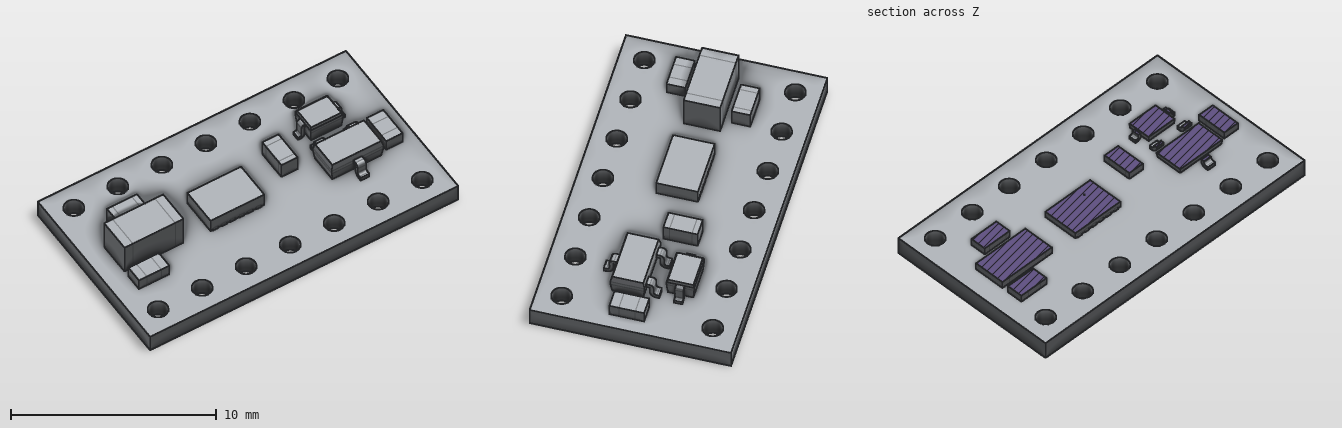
import cadquery as cq
import math

PITCH = 2.54
HOLE_COLUMNS = 2
HOLE_ROWS = 7
BOARD_X = 4 * PITCH
BOARD_Y = HOLE_ROWS * PITCH
BOARD_THICKNESS = 1.02
HOLE_DIAMETER = 1.02
HOLE_COLUMN_SPACING = 3 * PITCH
TOP = BOARD_THICKNESS

RESISTOR = (1.75, 0.95, 0.65, 0.46)
SMALL_CAPACITOR = (1.73, 0.94, 0.89, 0.30)
LARGE_CAPACITOR = (3.40, 1.84, 1.80, 0.48)

CHIPS = [
    (RESISTOR, 0.39, 7.64, 0),
    (RESISTOR, 1.76, -6.84, 90),
    (SMALL_CAPACITOR, -0.89, 2.41, 0),
    (SMALL_CAPACITOR, -1.79, -5.83, 90),
    (LARGE_CAPACITOR, 0.0, -6.01, 90),
]

IC_CENTRE_Y = -1.28
IC_X = 2.10
IC_Y = 3.10
IC_HEIGHT = 0.83
IC_STANDOFF = 0.05
IC_PADS_PER_SIDE = 6
IC_PAD_PITCH = 0.50
IC_PAD_WIDTH = 0.30
IC_PAD_LENGTH = 0.40
IC_PAD_HEIGHT = 0.22

BODY_STANDOFF = 0.10

TRANSISTOR_CENTRE = (0.716, 5.32)
TRANSISTOR_X = 1.72
TRANSISTOR_Y = 2.98
TRANSISTOR_HEIGHT = 1.18
TRANSISTOR_DRAFT_INSET = 0.08
TRANSISTOR_LEAD_SPAN = 3.06
TRANSISTOR_LEAD_WIDTH = 0.50
TRANSISTOR_LEAD_TOP = 0.87
TRANSISTOR_LEAD_THICKNESS = 0.20
TRANSISTOR_LEAD_PITCH = 0.95
TRANSISTOR_FOOT_FLAT = 0.13
TRANSISTOR_FOOT_RADIUS = 0.15

DIODE_CENTRE = (-1.78, 5.24)
DIODE_X = 1.40
DIODE_Y = 1.87
DIODE_HEIGHT = 1.07
DIODE_DRAFT_INSET = 0.06
DIODE_LEAD_SPAN = 2.71
DIODE_LEAD_WIDTH = 0.43
DIODE_LEAD_TOP = 0.93
DIODE_LEAD_THICKNESS = 0.17
DIODE_FOOT_FLAT = 0.12
DIODE_FOOT_RADIUS = 0.08

LEAD_INNER_RADIUS = 0.02
LEAD_EMBED = 0.20


def block(size_x, size_y, size_z, x=0, y=0, z=0):
    """Box centred on (x, y) with its underside at z."""
    return cq.Workplane("XY").box(size_x, size_y, size_z, centered=(True, True, False)).translate((x, y, z))


def join(parts):
    """Fuse parts, keeping the seams between flush faces."""
    fused = parts[0]
    for part in parts[1:]:
        fused = fused.union(part, clean=False)
    return fused


def make_board():
    return (
        block(BOARD_X, BOARD_Y, BOARD_THICKNESS)
        .faces(">Z")
        .workplane(origin=(0, 0, 0))
        .rarray(HOLE_COLUMN_SPACING, PITCH, HOLE_COLUMNS, HOLE_ROWS)
        .hole(HOLE_DIAMETER)
    )


def make_chip(package, x, y, rotation):
    """Two-terminal chip whose terminals are flush with its body."""
    length, width, height, terminal = package
    terminal_x = (length - terminal) / 2
    chip = join([
        block(length - 2 * terminal, width, height),
        block(terminal, width, height, x=-terminal_x),
        block(terminal, width, height, x=terminal_x),
    ])
    return chip.rotate((0, 0, 0), (0, 0, 1), rotation).translate((x, y, TOP))


def make_ic():
    """Raised body with flush pads along both long sides."""
    parts = [block(IC_X, IC_Y, IC_HEIGHT - IC_STANDOFF, z=IC_STANDOFF)]
    pad_x = (IC_X - IC_PAD_LENGTH) / 2
    first_y = -IC_PAD_PITCH * (IC_PADS_PER_SIDE - 1) / 2
    for side in (-1, 1):
        for index in range(IC_PADS_PER_SIDE):
            pad_y = first_y + index * IC_PAD_PITCH
            parts.append(block(IC_PAD_LENGTH, IC_PAD_WIDTH, IC_PAD_HEIGHT, side * pad_x, pad_y))
    return join(parts).translate((0, IC_CENTRE_Y, TOP))


def make_moulded_body(size_x, size_y, height, band_bottom, band_top, inset):
    """Body with a straight band at the lead level and drafted faces above and below it."""
    upper_height = height - band_top
    lower_height = band_bottom - BODY_STANDOFF
    upper = (
        cq.Workplane("XY", origin=(0, 0, band_top))
        .rect(size_x, size_y)
        .extrude(upper_height, taper=math.degrees(math.atan(inset / upper_height)))
    )
    lower = (
        cq.Workplane("XY", origin=(0, 0, band_bottom))
        .rect(size_x, size_y)
        .extrude(-lower_height, taper=math.degrees(math.atan(inset / lower_height)))
    )
    band = block(size_x, size_y, band_top - band_bottom, z=band_bottom)
    return join([band, upper, lower])


def make_lead(body_edge, tip, top, thickness, width, foot_flat, foot_radius):
    """Gull-wing lead running along +X from inside the body to its tip on the board."""
    bend_outer = LEAD_INNER_RADIUS + thickness
    foot_outer = foot_radius + thickness
    foot_start = tip - foot_flat
    outer_x = foot_start - foot_radius
    inner_x = outer_x - thickness
    bend_x = outer_x - bend_outer
    bend_z = top - bend_outer
    root_x = body_edge - LEAD_EMBED
    diagonal = math.sqrt(0.5)

    def on_bend(radius):
        return (bend_x + radius * diagonal, bend_z + radius * diagonal)

    def on_foot(radius):
        return (foot_start - radius * diagonal, foot_outer - radius * diagonal)

    return (
        cq.Workplane("XZ")
        .moveTo(root_x, top)
        .lineTo(bend_x, top)
        .threePointArc(on_bend(bend_outer), (outer_x, bend_z))
        .lineTo(outer_x, foot_outer)
        .threePointArc(on_foot(foot_radius), (foot_start, thickness))
        .lineTo(tip, thickness)
        .lineTo(tip, 0)
        .lineTo(foot_start, 0)
        .threePointArc(on_foot(foot_outer), (inner_x, foot_outer))
        .lineTo(inner_x, bend_z)
        .threePointArc(on_bend(LEAD_INNER_RADIUS), (bend_x, top - thickness))
        .lineTo(root_x, top - thickness)
        .close()
        .extrude(width / 2, both=True)
    )


def make_transistor():
    """Two leads on the -X side and one on the +X side."""
    body = make_moulded_body(
        TRANSISTOR_X,
        TRANSISTOR_Y,
        TRANSISTOR_HEIGHT,
        TRANSISTOR_LEAD_TOP - TRANSISTOR_LEAD_THICKNESS,
        TRANSISTOR_LEAD_TOP,
        TRANSISTOR_DRAFT_INSET,
    )
    lead = make_lead(
        TRANSISTOR_X / 2,
        TRANSISTOR_LEAD_SPAN / 2,
        TRANSISTOR_LEAD_TOP,
        TRANSISTOR_LEAD_THICKNESS,
        TRANSISTOR_LEAD_WIDTH,
        TRANSISTOR_FOOT_FLAT,
        TRANSISTOR_FOOT_RADIUS,
    )
    left_lead = lead.rotate((0, 0, 0), (0, 0, 1), 180)
    parts = [body, lead]
    for side in (-1, 1):
        parts.append(left_lead.translate((0, side * TRANSISTOR_LEAD_PITCH, 0)))
    return join(parts).translate((*TRANSISTOR_CENTRE, TOP))


def make_diode():
    """One lead at each Y end."""
    body = make_moulded_body(
        DIODE_X,
        DIODE_Y,
        DIODE_HEIGHT,
        DIODE_LEAD_TOP - DIODE_LEAD_THICKNESS,
        DIODE_LEAD_TOP,
        DIODE_DRAFT_INSET,
    )
    lead = make_lead(
        DIODE_Y / 2,
        DIODE_LEAD_SPAN / 2,
        DIODE_LEAD_TOP,
        DIODE_LEAD_THICKNESS,
        DIODE_LEAD_WIDTH,
        DIODE_FOOT_FLAT,
        DIODE_FOOT_RADIUS,
    )
    parts = [body]
    for angle in (90, -90):
        parts.append(lead.rotate((0, 0, 0), (0, 0, 1), angle))
    return join(parts).translate((*DIODE_CENTRE, TOP))


components = [make_chip(*placement) for placement in CHIPS]
result = join([make_board(), make_ic(), make_transistor(), make_diode()] + components)